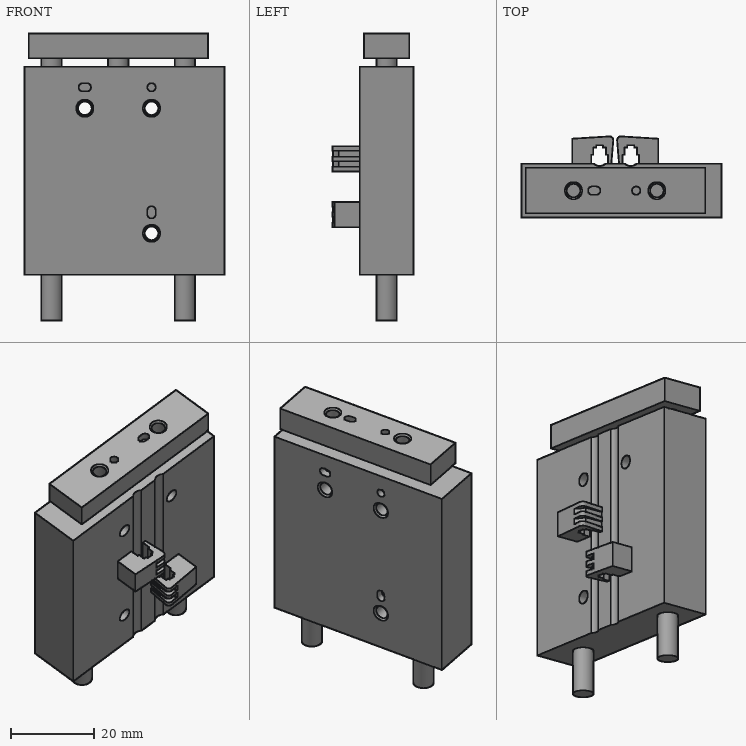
import cadquery as cq
import math


OVERALL_HEIGHT = 69.0
OVERALL_DEPTH = 19.5

HOUSING_WIDTH = 48.0
HOUSING_DEPTH = 13.0
HOUSING_HEIGHT = 50.0
HOUSING_LEFT_X = -22.5
FRONT_Y = -HOUSING_DEPTH / 2
BACK_Y = HOUSING_DEPTH / 2

ROD_DIAMETER = 5.0
GUIDE_ROD_OFFSET = 16.0
ROD_OVERHANG = 11.0
PLATE_GAP = 2.0
PLATE_DEPTH = 11.0
PLATE_WIDTH = 43.1
PLATE_HEIGHT = OVERALL_HEIGHT - ROD_OVERHANG - HOUSING_HEIGHT - PLATE_GAP
PLATE_SIDE_MARGIN = 1.0
PLATE_BOTTOM_Z = HOUSING_HEIGHT + PLATE_GAP
PLATE_TOP_Z = PLATE_BOTTOM_Z + PLATE_HEIGHT
PISTON_ROD_INSERTION = HOUSING_HEIGHT / 2

SCREW_DIAMETER = 3.25
SCREW_MOUTH_DIAMETER = 4.15
PIN_DIAMETER = 2.0
PIN_SLOT_LENGTH = 3.0
PIN_DEPTH = 2.0
HOUSING_HOLE_OFFSET = 8.0
UPPER_SCREW_Z = HOUSING_HEIGHT - 10.0
LOWER_SCREW_Z = HOUSING_HEIGHT - 40.0
PIN_ABOVE_SCREW = 5.05
PLATE_SCREW_OFFSET = 10.0
PLATE_PIN_OFFSET = 5.05

SENSOR_OFFSET = 3.7
SENSOR_GROOVE_DIAMETER = 4.15
SENSOR_GROOVE_DEPTH = 0.55

CLIP_LENGTH = 6.15
RIGHT_CLIP_Z = HOUSING_HEIGHT - 22.15
LEFT_CLIP_Z = HOUSING_HEIGHT - 35.55
CLIP_OUTER_X = 10.35
CLIP_FOOT_X = 0.9
CLIP_TIP_X = 0.35
CLIP_ROUNDING_LOSS = 0.1
CLIP_PEAK_HEIGHT = OVERALL_DEPTH - HOUSING_DEPTH + CLIP_ROUNDING_LOSS
CLIP_OUTER_HEIGHT = 6.0
CLIP_CORNER_RADIUS = 1.0
CLIP_STEPS = [
    (3.9, 2.1),
    (3.0, 3.85),
    (1.6, 4.35),
]

BAND_WIDTH = 1.4
BAND_PITCH = 2.5
BAND_DIAMETER = 10.0
BAND_FLOOR_X = 1.2
BAND_FLOOR_HEIGHT = 5.0


def block(left, width, depth, bottom, height):
    """Box centred on Y = 0."""
    base = cq.Workplane("XY", origin=(left, 0, bottom))
    return base.box(width, depth, height, centered=(False, True, False))


def rod(x, bottom, top):
    """Round rod along Z."""
    return cq.Workplane("XY", origin=(x, 0, bottom)).circle(ROD_DIAMETER / 2).extrude(top - bottom)


def screw_hole(face, depth):
    """Cutter for a chamfered hole; the face's normal points out of the body."""
    chamfer = (SCREW_MOUTH_DIAMETER - SCREW_DIAMETER) / 2
    hole = face.circle(SCREW_DIAMETER / 2).extrude(-depth)
    mouth = face.circle(SCREW_MOUTH_DIAMETER / 2).extrude(-chamfer, taper=45)
    return hole.union(mouth)


def pin_hole(face):
    """Cutter for a blind round hole."""
    return face.circle(PIN_DIAMETER / 2).extrude(-PIN_DEPTH)


def pin_slot(face, angle=0):
    """Cutter for a blind slot with round ends."""
    return face.slot2D(PIN_SLOT_LENGTH, PIN_DIAMETER, angle).extrude(-PIN_DEPTH)


def front_face(x, z):
    return cq.Workplane("XZ", origin=(x, FRONT_Y, z))


def plate_face(x):
    return cq.Workplane("XY", origin=(x, 0, PLATE_TOP_Z))


def guide_rod(x):
    return rod(x, -ROD_OVERHANG, PLATE_BOTTOM_Z)


def piston_rod():
    return rod(0, HOUSING_HEIGHT - PISTON_ROD_INSERTION, PLATE_BOTTOM_Z)


def make_housing():
    body = block(HOUSING_LEFT_X, HOUSING_WIDTH, HOUSING_DEPTH, 0, HOUSING_HEIGHT)
    body = body.cut(piston_rod())
    groove_y = BACK_Y - SENSOR_GROOVE_DEPTH + SENSOR_GROOVE_DIAMETER / 2
    for side in (-1, 1):
        body = body.cut(guide_rod(side * GUIDE_ROD_OFFSET))
        groove = cq.Workplane("XY", origin=(side * SENSOR_OFFSET, groove_y, 0))
        body = body.cut(groove.circle(SENSOR_GROOVE_DIAMETER / 2).extrude(HOUSING_HEIGHT))

    left, right = -HOUSING_HOLE_OFFSET, HOUSING_HOLE_OFFSET
    for x, z in ((left, UPPER_SCREW_Z), (right, UPPER_SCREW_Z), (right, LOWER_SCREW_Z)):
        body = body.cut(screw_hole(front_face(x, z), HOUSING_DEPTH))
    body = body.cut(pin_slot(front_face(left, UPPER_SCREW_Z + PIN_ABOVE_SCREW)))
    body = body.cut(pin_hole(front_face(right, UPPER_SCREW_Z + PIN_ABOVE_SCREW)))
    return body.cut(pin_slot(front_face(right, LOWER_SCREW_Z + PIN_ABOVE_SCREW), angle=90))


def make_slide():
    """Slide plate with the piston rod that drives it."""
    left = HOUSING_LEFT_X + PLATE_SIDE_MARGIN
    plate = block(left, PLATE_WIDTH, PLATE_DEPTH, PLATE_BOTTOM_Z, PLATE_HEIGHT)
    for side in (-1, 1):
        plate = plate.cut(screw_hole(plate_face(side * PLATE_SCREW_OFFSET), PLATE_HEIGHT))
    plate = plate.cut(pin_slot(plate_face(-PLATE_PIN_OFFSET)))
    plate = plate.cut(pin_hole(plate_face(PLATE_PIN_OFFSET)))
    return plate.union(piston_rod())


def band_groove(middle_z):
    """Cutter that thins the clip's inner arm and scoops its top with an arc centred above the rod axis."""
    plane = cq.Workplane("XY", origin=(0, BACK_Y, middle_z - BAND_WIDTH / 2))
    radius = BAND_DIAMETER / 2
    arm_cut = plane.rect(2 * BAND_FLOOR_X, 2 * BAND_FLOOR_HEIGHT).extrude(BAND_WIDTH)
    arc_center = BAND_FLOOR_HEIGHT + math.sqrt(radius**2 - BAND_FLOOR_X**2)
    return arm_cut.union(plane.center(0, arc_center).circle(radius).extrude(BAND_WIDTH))


def make_right_clip(middle_z):
    plane = cq.Workplane("XY", origin=(0, BACK_Y, middle_z - CLIP_LENGTH / 2))
    outline = [
        (CLIP_FOOT_X, 0),
        (CLIP_TIP_X, CLIP_PEAK_HEIGHT),
        (CLIP_OUTER_X, CLIP_OUTER_HEIGHT),
        (CLIP_OUTER_X, 0),
    ]
    clip = plane.polyline(outline).close().extrude(CLIP_LENGTH)
    clip = clip.edges("|Z").edges(">Y").fillet(CLIP_CORNER_RADIUS)
    for width, top in CLIP_STEPS:
        clip = clip.cut(plane.center(SENSOR_OFFSET, 0).rect(width, 2 * top).extrude(CLIP_LENGTH))
    for side in (-1, 1):
        clip = clip.cut(band_groove(middle_z + side * BAND_PITCH / 2))
    return clip


def make_left_clip(middle_z):
    return make_right_clip(middle_z).mirror("YZ")


housing = make_housing()
slide = make_slide()
guide_rods = [guide_rod(side * GUIDE_ROD_OFFSET) for side in (-1, 1)]
right_clip = make_right_clip(RIGHT_CLIP_Z)
left_clip = make_left_clip(LEFT_CLIP_Z)

result = cq.Compound.makeCompound([
    housing.val(),
    slide.val(),
    *[guide.val() for guide in guide_rods],
    right_clip.val(),
    left_clip.val(),
])